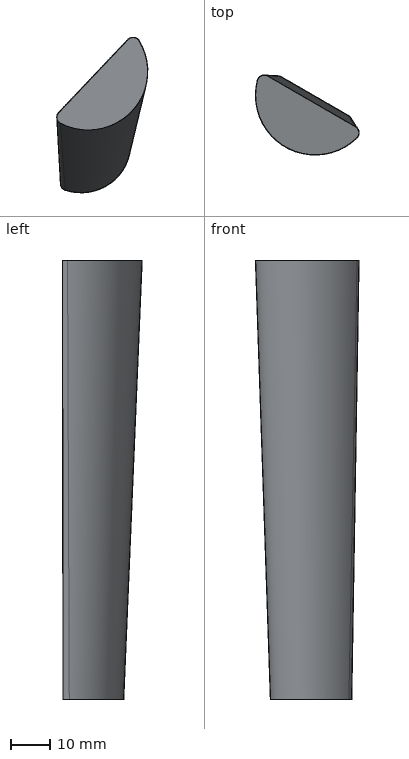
import cadquery as cq
import math

LENGTH = 112.1
FLAT_ANGLE = -30.0
CORNER_RADIUS = 1.8

TOP_RADIUS = 15.2
TOP_FLAT_DEPTH = 1.8
BOTTOM_RADIUS = 12.7
BOTTOM_FLAT_DEPTH = 2.7
BOTTOM_SHIFT = 2.5


def rounded_segment(plane, radius, flat_depth, shift):
    """Circular segment with a flat on its +Y side and two rounded corners."""
    flat_y = shift - flat_depth
    corner_y = flat_y - CORNER_RADIUS
    corner_drop = flat_depth + CORNER_RADIUS
    corner_reach = radius - CORNER_RADIUS
    corner_x = math.sqrt(corner_reach**2 - corner_drop**2)

    touch_x = corner_x * radius / corner_reach
    touch_y = shift - corner_drop * radius / corner_reach

    touch_angle = -math.atan2(corner_drop, corner_x)
    middle_angle = (math.pi / 2 + touch_angle) / 2
    middle_x = corner_x + CORNER_RADIUS * math.cos(middle_angle)
    middle_y = corner_y + CORNER_RADIUS * math.sin(middle_angle)

    return (
        cq.Workplane(plane)
        .moveTo(-corner_x, flat_y)
        .lineTo(corner_x, flat_y)
        .threePointArc((middle_x, middle_y), (touch_x, touch_y))
        .threePointArc((0, shift - radius), (-touch_x, touch_y))
        .threePointArc((-middle_x, middle_y), (-corner_x, flat_y))
        .close()
        .val()
    )


flat_direction = (
    math.cos(math.radians(FLAT_ANGLE)),
    math.sin(math.radians(FLAT_ANGLE)),
    0,
)
bottom_plane = cq.Plane(origin=(0, 0, 0), xDir=flat_direction, normal=(0, 0, 1))
top_plane = cq.Plane(origin=(0, 0, LENGTH), xDir=flat_direction, normal=(0, 0, 1))

bottom_outline = rounded_segment(bottom_plane, BOTTOM_RADIUS, BOTTOM_FLAT_DEPTH, BOTTOM_SHIFT)
top_outline = rounded_segment(top_plane, TOP_RADIUS, TOP_FLAT_DEPTH, 0)

result = cq.Workplane(cq.Solid.makeLoft([bottom_outline, top_outline], True))